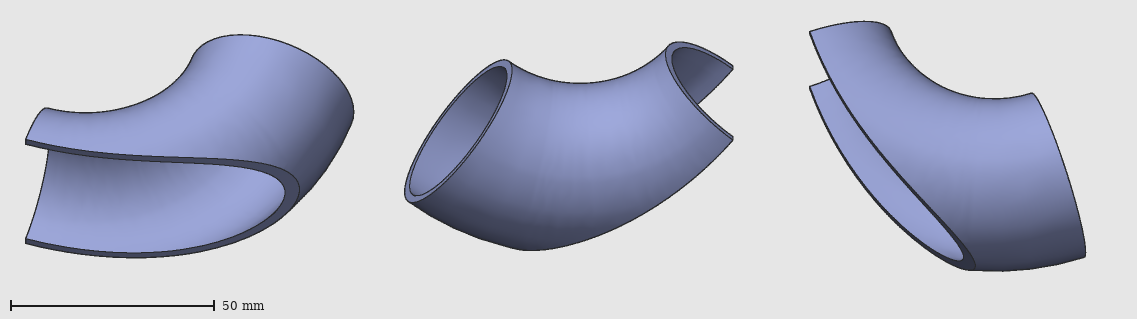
import cadquery as cq

outer_reach = 69.2
pipe_diameter = 42.4
wall = 2.0
bend_angle = 90.0

pipe_radius = pipe_diameter / 2
bore_radius = pipe_radius - wall
bend_radius = outer_reach - pipe_radius


def make_elbow():
    """Hollow quarter bend about the Z axis, swinging from the +X end to the -Y end."""
    section = cq.Workplane("XZ").center(bend_radius, 0).circle(pipe_radius).circle(bore_radius)
    axis_start = (-bend_radius, 0, 0)
    axis_end = (-bend_radius, -1, 0)
    return section.revolve(bend_angle, axis_start, axis_end)


def make_saddle_region():
    """Upright prism holding the material kept after the elbow is fitted onto an equal pipe along X.

    A bend and a straight pipe of the same size, with touching centrelines, meet on a parabola:
    each point is as far from the bend centre as from the line y = -2 * bend_radius.
    """
    tangent_point = (0, -bend_radius)
    control_point = (bend_radius, -bend_radius)
    far_point = (2 * bend_radius, 0)
    outline = (
        cq.Workplane("XY", origin=(0, 0, -pipe_diameter))
        .moveTo(*tangent_point)
        .bezier([tangent_point, control_point, far_point])
        .lineTo(0, 0)
        .close()
    )
    return outline.extrude(2 * pipe_diameter)


result = make_elbow().intersect(make_saddle_region())